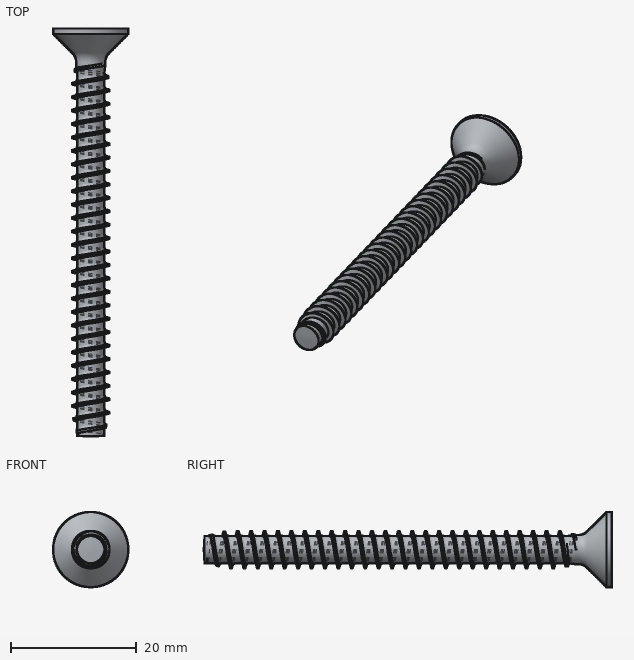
import cadquery as cq


length = 65.0
head_diameter = 12.0
head_radius = head_diameter / 2
rim_height = 0.85
cone_end_radius = 3.05
cone_end_z = -rim_height - (head_radius - cone_end_radius)
neck_radius = 2.35
neck_fillet_end_z = -5.3
neck_end_z = -5.85

fillet_width = cone_end_radius - neck_radius
fillet_height = cone_end_z - neck_fillet_end_z
neck_fillet_radius = (fillet_width**2 + fillet_height**2) / (2 * fillet_width)

core_diameter = 4.35
core_radius = core_diameter / 2
core_start_z = -7.15
tip_cone_height = 0.1
tip_z = -length + tip_cone_height

thread_turns = 28
thread_length = 59.85
pitch = thread_length / thread_turns
thread_start_z = -5.6
thread_end_z = thread_start_z - thread_length
thread_radius = 3.0
crest_half_width = 0.05
flank_half_width = 0.25
ramp_height = 0.1
ramp_foot_offset = 0.7
root_overlap = 0.1

full_thread_top_z = -8.45
full_thread_bottom_z = -61.35
fade_radius_top = 2.3
fade_radius_bottom = 2.1
envelope_clearance = 0.3


def make_body():
    """Head, filleted neck and plain core as one turned profile."""
    return (
        cq.Workplane("XZ")
        .moveTo(0, 0)
        .lineTo(head_radius, 0)
        .lineTo(head_radius, -rim_height)
        .lineTo(cone_end_radius, cone_end_z)
        .radiusArc((neck_radius, neck_fillet_end_z), -neck_fillet_radius)
        .lineTo(neck_radius, neck_end_z)
        .lineTo(core_radius, core_start_z)
        .lineTo(core_radius, tip_z)
        .lineTo(0, -length)
        .close()
        .revolve(360, (0, 0, 0), (0, 1, 0))
    )


def make_full_thread():
    """Right-handed helical ridge of constant section, sunk slightly into the core."""
    root_radius = core_radius - root_overlap
    ramp_slope = ramp_height / (ramp_foot_offset - flank_half_width)
    root_foot_offset = ramp_foot_offset + root_overlap / ramp_slope
    section = [
        (root_radius, -flank_half_width),
        (thread_radius, -crest_half_width),
        (thread_radius, crest_half_width),
        (core_radius + ramp_height, flank_half_width),
        (root_radius, root_foot_offset),
    ]
    edges = [
        cq.Wire.makeHelix(pitch, thread_length, radius, cq.Vector(0, 0, thread_end_z + offset))
        for radius, offset in section
    ]
    next_edges = edges[1:] + edges[:1]
    faces = [cq.Face.makeRuledSurface(edge, other) for edge, other in zip(edges, next_edges)]
    for corners in ([edge.startPoint() for edge in edges], [edge.endPoint() for edge in edges]):
        faces.append(cq.Face.makeFromWires(cq.Wire.makePolygon(corners, close=True)))
    return cq.Workplane(obj=cq.Solid.makeSolid(cq.Shell.makeShell(faces)))


def make_thread_envelope():
    """Turned solid whose tapered ends fade the thread out at the neck and the tip."""
    clear_radius = thread_radius + envelope_clearance
    top_slope = (thread_radius - fade_radius_top) / (neck_fillet_end_z - full_thread_top_z)
    bottom_slope = (thread_radius - fade_radius_bottom) / (full_thread_bottom_z - tip_z)
    return (
        cq.Workplane("XZ")
        .moveTo(0, neck_fillet_end_z)
        .lineTo(fade_radius_top, neck_fillet_end_z)
        .lineTo(clear_radius, full_thread_top_z - envelope_clearance / top_slope)
        .lineTo(clear_radius, full_thread_bottom_z + envelope_clearance / bottom_slope)
        .lineTo(fade_radius_bottom, tip_z)
        .lineTo(0, tip_z)
        .close()
        .revolve(360, (0, 0, 0), (0, 1, 0))
    )


thread = make_full_thread().intersect(make_thread_envelope())
screw = make_body().union(thread)
result = screw.rotate((0, 0, 0), (1, 0, 0), -90).solids()